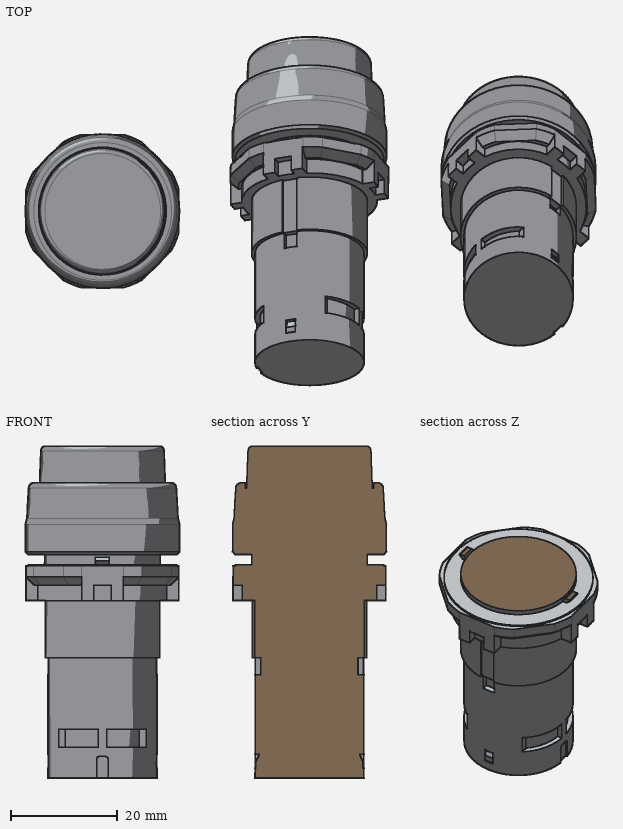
import cadquery as cq
import math

total_height = 62.3

lower_radius = 20.5 / 2
upper_radius = 21.75 / 2
shoulder_z = 22.55

nut_bottom_z = 33.3
nut_bevel_bottom_z = 36.2
nut_bevel = 1.55
nut_top_z = 39.8
nut_sides = 8
nut_across_flats = 28.7
nut_corner_radius = 14.9
nut_ring_radius = 12.7
lug_width = 7.8
lug_notch_width = 3.25
washer_radius = 28.0 / 2
washer_top_z = 40.05

bezel_bottom_z = 41.9
bezel_bottom_radius = 28.0 / 2
bezel_chamfer_top_z = 42.5
bezel_radius = 29.0 / 2
bezel_band_top_z = 47.65
bezel_cone_bottom_z = 48.8
bezel_cone_bottom_radius = 28.4 / 2
bezel_cone_top_z = 54.45
bezel_cone_top_radius = 27.8 / 2
bezel_top_z = 55.45
bezel_rim_radius = 25.85 / 2
bezel_opening_radius = 24.0 / 2
bezel_groove_depth = 1.0

button_bottom_radius = 23.7 / 2
button_edge_z = 61.4
button_edge_radius = 23.2 / 2
button_face_radius = 21.75 / 2

tab_width = 2.6
tab_thickness = 0.9
tab_length = 2.5
tab_tilt = 45.0
tab_centre_y = 11.2
tab_centre_z = 40.25

window_bottom_z = 5.8
window_top_z = 9.2
window_gap = 1.55
window_end_y = 6.15
window_floor_radius = 9.3

marking_width = 2.2
marking_height = 4.1
marking_corner = 0.6
marking_floor_radius = 9.9

upper_slot_width = 2.9
upper_slot_floor = 10.35
lower_slot_width = 2.5
lower_slot_floor = 9.15
lower_slot_bottom_z = 19.45
catch_width = 1.9
catch_bottom_z = 1.9
catch_ramp_bottom_z = 3.05
catch_top_z = 4.5
catch_shallow_x = 10.1
catch_deep_x = 9.4

beyond = 18.7


def block(x_range, y_range, z_range):
    """Axis-aligned block given by its limits."""
    sizes = [high - low for low, high in (x_range, y_range, z_range)]
    lows = (x_range[0], y_range[0], z_range[0])
    return cq.Workplane("XY").box(*sizes, centered=False).translate(lows)


def cylinder(radius, bottom_z, top_z):
    return cq.Workplane("XY").workplane(offset=bottom_z).circle(radius).extrude(top_z - bottom_z)


def both_sides(shape):
    """The shape together with its half-turn copy about the Z axis."""
    return shape.union(shape.rotate((0, 0, 0), (0, 0, 1), 180))


def make_turned_body():
    """Barrel, neck, bezel and button as one revolved profile."""
    groove_floor_z = bezel_top_z - bezel_groove_depth
    profile = (
        cq.Workplane("XZ")
        .lineTo(lower_radius, 0)
        .lineTo(lower_radius, shoulder_z)
        .lineTo(upper_radius, shoulder_z)
        .lineTo(upper_radius, bezel_bottom_z)
        .lineTo(bezel_bottom_radius, bezel_bottom_z)
        .lineTo(bezel_radius, bezel_chamfer_top_z)
        .lineTo(bezel_radius, bezel_band_top_z)
        .lineTo(bezel_cone_bottom_radius, bezel_cone_bottom_z)
        .lineTo(bezel_cone_top_radius, bezel_cone_top_z)
        .tangentArcPoint((bezel_rim_radius, bezel_top_z), relative=False)
        .lineTo(bezel_opening_radius, bezel_top_z)
        .lineTo(bezel_opening_radius, groove_floor_z)
        .lineTo(button_bottom_radius, groove_floor_z)
        .lineTo(button_edge_radius, button_edge_z)
        .tangentArcPoint((button_face_radius, total_height), relative=False)
        .lineTo(0, total_height)
        .close()
    )
    return profile.revolve(360, (0, 0, 0), (0, 1, 0))


def nut_outline(bottom_z, top_z, bottom_inset):
    """Octagon with round corners, drawn in by bottom_inset at its lower end."""
    corners_per_flats = 1 / math.cos(math.pi / nut_sides)
    top_across_corners = nut_across_flats * corners_per_flats
    bottom_across_corners = (nut_across_flats - 2 * bottom_inset) * corners_per_flats
    half_step = 360 / nut_sides / 2
    height = top_z - bottom_z
    prism = (
        cq.Workplane("XY")
        .workplane(offset=bottom_z)
        .polygon(nut_sides, bottom_across_corners)
        .workplane(offset=height)
        .polygon(nut_sides, top_across_corners)
        .loft(ruled=True)
        .rotate((0, 0, 0), (0, 0, 1), half_step)
    )
    trim = (
        cq.Workplane("XY")
        .workplane(offset=bottom_z)
        .circle(nut_corner_radius - bottom_inset)
        .workplane(offset=height)
        .circle(nut_corner_radius)
        .loft(ruled=True)
    )
    return prism.intersect(trim)


def make_nut():
    """Bevelled rim on a plain ring, with a washer on top and a notched lug on each axis."""
    bevel_top_z = nut_bevel_bottom_z + nut_bevel
    half_flats = nut_across_flats / 2
    rim = nut_outline(bevel_top_z, nut_top_z, 0)
    bevel = nut_outline(nut_bevel_bottom_z, bevel_top_z, nut_bevel)
    ring = cylinder(nut_ring_radius, nut_bottom_z, nut_bevel_bottom_z)
    washer = cylinder(washer_radius, nut_top_z, washer_top_z)
    nut = rim.union(bevel).union(ring).union(washer)

    lug = block((upper_radius, half_flats), (-lug_width / 2, lug_width / 2), (nut_bottom_z, bevel_top_z))
    notch = block(
        (0, beyond),
        (-lug_notch_width / 2, lug_notch_width / 2),
        (nut_bottom_z, nut_bevel_bottom_z),
    ).cut(cylinder(nut_ring_radius, nut_bottom_z, nut_bevel_bottom_z))
    notched_lug = lug.cut(notch)
    for quarter in range(4):
        nut = nut.union(notched_lug.rotate((0, 0, 0), (0, 0, 1), 90 * quarter))
    return nut


def make_spring_tabs():
    """Slanted tabs rising outwards from the neck."""
    tab = (
        cq.Workplane("XY")
        .box(tab_width, tab_length, tab_thickness)
        .rotate((0, 0, 0), (1, 0, 0), tab_tilt)
        .translate((0, tab_centre_y, tab_centre_z))
    )
    return both_sides(tab)


def make_windows():
    """Two curved windows on the front and two on the back."""
    heights = (window_bottom_z, window_top_z)
    side = block((-beyond, beyond), (window_end_y, beyond), heights)
    web = block((-window_gap / 2, window_gap / 2), (0, beyond), heights)
    core = cylinder(window_floor_radius, *heights)
    return both_sides(side.cut(web).cut(core))


def make_marking_recess():
    half_width = marking_width / 2
    recess = (
        block((-half_width, half_width), (-beyond, 0), (0, marking_height))
        .edges("|Y and >Z")
        .fillet(marking_corner)
    )
    return recess.cut(cylinder(marking_floor_radius, 0, marking_height))


def make_key_slots():
    """Stepped slots along the barrel under the two X-side lugs."""
    half_upper = upper_slot_width / 2
    half_lower = lower_slot_width / 2
    upper = block((upper_slot_floor, beyond), (-half_upper, half_upper), (shoulder_z, nut_bottom_z))
    lower = block((lower_slot_floor, beyond), (-half_lower, half_lower), (lower_slot_bottom_z, shoulder_z))
    return both_sides(upper.union(lower))


def make_catch_pockets():
    """Small pockets whose floor ramps deeper towards the top."""
    pocket = (
        cq.Workplane("XZ")
        .polyline([
            (beyond, catch_bottom_z),
            (catch_shallow_x, catch_bottom_z),
            (catch_shallow_x, catch_ramp_bottom_z),
            (catch_deep_x, catch_top_z),
            (beyond, catch_top_z),
        ])
        .close()
        .extrude(catch_width / 2, both=True)
    )
    return both_sides(pocket)


result = (
    make_turned_body()
    .cut(make_key_slots())
    .union(make_nut())
    .union(make_spring_tabs())
    .cut(make_windows())
    .cut(make_marking_recess())
    .cut(make_catch_pockets())
)